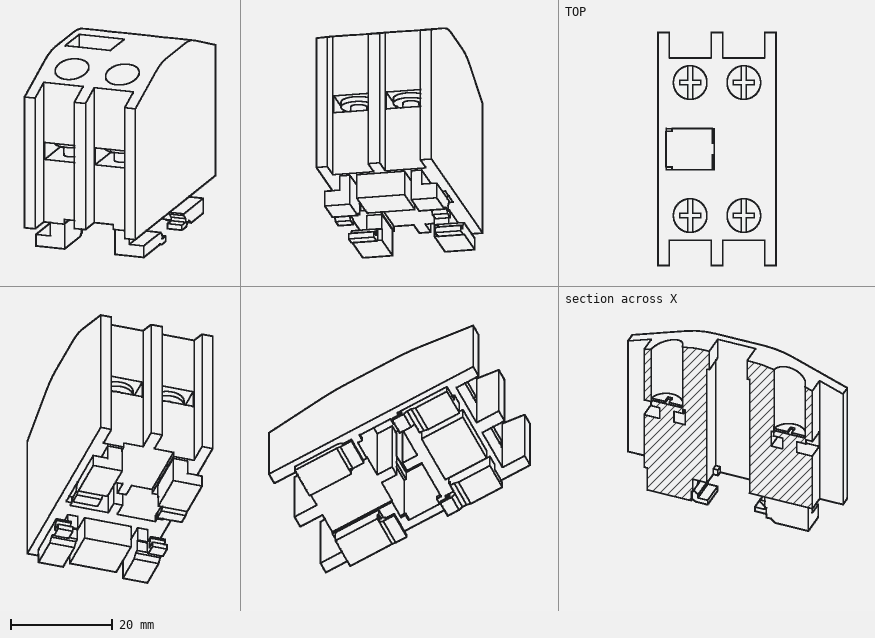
import cadquery as cq
import math


length = 46.2
width = 23.4
wall_x = width / 2
height = 32.45
total_height = 38.5
roof_flat_half = 5.25
roof_radius = 18.0
roof_angle = math.radians(20)

bay_width = 8.25
bay_depth = 5.05
pole_x = 5.3

screw_y = 13.15
screw_hole_diameter = 6.65
screw_top_z = 17.4
drive_width = 0.92
drive_length = 4.2
drive_depth = 0.45
slot_width = 7.9
slot_floor_z = 13.0
slot_ceiling_z = 16.5
slot_end_y = 9.25
head_diameter = 7.0
head_bottom_z = 15.5
shank_diameter = 3.25

side_wall = 1.6
window_outer_x = wall_x - side_wall
window_inner_x = 0.55
window_half_length = 4.05
chamber_inner_x = 0.92
chamber_half_length = 4.55
roof_thickness = 4.57
chamber_height = height - roof_thickness
partition_gap = 2.3
tab_width = 1.2
tab_half_gap = 3.5
tab_height = 1.4

recess_width = 10.35
recess_height = 0.95

foot_outer_x = wall_x - 0.32
stem_outer_x = wall_x - 3.35
front_foot_inner_x = wall_x - 6.38
hook_inner_x = wall_x - 5.45
foot_top_z = -2.95
front_foot_y = -17.4
front_stem_y = -7.6
front_foot_bottom_z = -5.35
rear_foot_y = 17.0
rear_stem_y = 7.65
foot_bottom_z = height - total_height
hook_end_y = 4.6
groove_top_z = -5.25

front_groove_y = -7.95
front_sole_step_y = -8.55
front_shoulder_y = -6.7
front_shoulder_z = -3.8
front_hook_top_z = -4.57
front_hook_bottom_z = -5.7
front_hook_heel_y = -7.1

rear_groove_y = 8.0
rear_groove_far_y = 8.9
rear_groove_start_y = 9.9
rear_hook_heel_y = 7.2
rear_hook_top_z = -5.0
rear_throat_y = 6.75
rear_throat_z = -4.25
rear_lip_y = 5.75
rear_lip_z = -3.33

block_width = 9.7
block_height = 4.9


def box(x_range, y_range, z_range):
    """Box spanning three (start, end) ranges given in either order."""
    ranges = [sorted(r) for r in (x_range, y_range, z_range)]
    sizes = [high - low for low, high in ranges]
    corner = tuple(low for low, high in ranges)
    return cq.Workplane("XY").box(*sizes, centered=False).translate(corner)


def centred(size, middle=0.0):
    """Range of the given size around a middle."""
    return (middle - size / 2, middle + size / 2)


def cylinder(diameter, x, y, z_range):
    """Upright cylinder between two heights."""
    bottom, top = z_range
    return cq.Workplane("XY", origin=(x, y, bottom)).circle(diameter / 2).extrude(top - bottom)


def profile_solid(points, x_range):
    """Closed (Y, Z) outline extruded between two X positions."""
    start, end = sorted(x_range)
    return cq.Workplane("YZ", origin=(start, 0, 0)).polyline(points).close().extrude(end - start)


def mirrored_pair(solid):
    """The solid together with its mirror image across X = 0."""
    return solid.union(solid.mirror("YZ"))


def housing():
    """Prism with a flat roof that curves tangentially into a slope at each end."""
    def arc_point(angle):
        y = roof_flat_half + roof_radius * math.sin(angle)
        z = height - roof_radius * (1 - math.cos(angle))
        return y, z

    mid_y, mid_z = arc_point(roof_angle / 2)
    end_y, end_z = arc_point(roof_angle)
    half = length / 2
    eave_z = end_z - (half - end_y) * math.tan(roof_angle)
    return (
        cq.Workplane("YZ", origin=(-wall_x, 0, 0))
        .moveTo(-half, 0)
        .lineTo(half, 0)
        .lineTo(half, eave_z)
        .lineTo(end_y, end_z)
        .threePointArc((mid_y, mid_z), (roof_flat_half, height))
        .lineTo(-roof_flat_half, height)
        .threePointArc((-mid_y, mid_z), (-end_y, end_z))
        .lineTo(-half, eave_z)
        .close()
        .extrude(width)
    )


def with_terminal(body, x, side):
    """Cut one wire bay with its screw hole and side slot, and add the screw; side is -1 or 1 along Y."""
    end_y = side * length / 2
    bay_floor_y = side * (length / 2 - bay_depth)
    y = side * screw_y
    body = body.cut(box(centred(bay_width, x), (bay_floor_y, end_y), (0, height)))
    body = body.cut(box(centred(slot_width, x), (side * slot_end_y, end_y), (slot_floor_z, slot_ceiling_z)))
    body = body.cut(cylinder(screw_hole_diameter, x, y, (screw_top_z, height)))
    drive_z = (screw_top_z - drive_depth, screw_top_z)
    body = body.cut(box(centred(drive_length, x), centred(drive_width, y), drive_z))
    body = body.cut(box(centred(drive_width, x), centred(screw_hole_diameter, y), drive_z))
    body = body.union(cylinder(head_diameter, x, y, (head_bottom_z, slot_ceiling_z)))
    return body.union(cylinder(shank_diameter, x, y, (slot_floor_z, head_bottom_z)))


def contact_chambers():
    """Two chambers open at the bottom, joined by a gap in the partition, less the tabs in their corners."""
    chamber = box(
        (-window_outer_x, -chamber_inner_x),
        (-chamber_half_length, chamber_half_length),
        (0, chamber_height),
    )
    for side in (-1, 1):
        tab = box(
            (-window_outer_x, tab_width - window_outer_x),
            (side * tab_half_gap, side * chamber_half_length),
            (0, tab_height),
        )
        chamber = chamber.cut(tab)
    gap = box((-chamber_inner_x, chamber_inner_x), centred(partition_gap), (0, chamber_height))
    return mirrored_pair(chamber).union(gap)


def front_foot():
    """Left front foot: a stem, a wider sole and a hook reaching towards the middle."""
    stem = box((-stem_outer_x, -front_foot_inner_x), (front_foot_y, front_stem_y), (foot_top_z, 0))
    sole = box(
        (-foot_outer_x, -front_foot_inner_x),
        (front_foot_y, front_groove_y),
        (front_foot_bottom_z, foot_top_z),
    )
    sole_notch_points = [
        (front_sole_step_y, front_foot_bottom_z),
        (front_groove_y, front_foot_bottom_z),
        (front_groove_y, groove_top_z),
    ]
    sole = sole.cut(profile_solid(sole_notch_points, (-foot_outer_x, -front_foot_inner_x)))
    hook_points = [
        (front_groove_y, groove_top_z),
        (front_groove_y, foot_top_z),
        (front_stem_y, foot_top_z),
        (front_shoulder_y, front_shoulder_z),
        (front_shoulder_y, front_hook_top_z),
        (-hook_end_y, front_hook_top_z),
        (-hook_end_y, front_hook_bottom_z),
        (front_hook_heel_y, front_hook_bottom_z),
    ]
    return stem.union(sole).union(profile_solid(hook_points, (-foot_outer_x, -hook_inner_x)))


def rear_foot():
    """Left rear foot: a stem, a sole with a grooved bottom and a narrower hook."""
    stem = box((-stem_outer_x, -hook_inner_x), (rear_stem_y, rear_foot_y), (foot_top_z, 0))
    sole_points = [
        (rear_foot_y, foot_top_z),
        (rear_foot_y, foot_bottom_z),
        (rear_groove_start_y, foot_bottom_z),
        (rear_groove_far_y, groove_top_z),
        (rear_groove_y, groove_top_z),
        (rear_groove_y, foot_top_z),
    ]
    hook_points = [
        (rear_groove_y, foot_top_z),
        (rear_groove_y, groove_top_z),
        (rear_hook_heel_y, foot_bottom_z),
        (hook_end_y, foot_bottom_z),
        (hook_end_y, rear_hook_top_z),
        (rear_throat_y, rear_hook_top_z),
        (rear_throat_y, rear_throat_z),
        (rear_lip_y, rear_lip_z),
        (rear_lip_y, foot_top_z),
    ]
    sole = profile_solid(sole_points, (-foot_outer_x, -hook_inner_x))
    hook = profile_solid(hook_points, (-foot_outer_x, -stem_outer_x))
    return stem.union(sole).union(hook)


result = housing()
for terminal_x in (-pole_x, pole_x):
    for terminal_side in (-1, 1):
        result = with_terminal(result, terminal_x, terminal_side)

window = box(
    (-window_outer_x, -window_inner_x),
    (-window_half_length, window_half_length),
    (chamber_height, height),
)
recess = box(centred(recess_width), (-length / 2, -partition_gap / 2), (0, recess_height))
result = result.cut(window).cut(contact_chambers()).cut(recess)

result = result.union(mirrored_pair(front_foot())).union(mirrored_pair(rear_foot()))
result = result.union(box(centred(block_width), (rear_stem_y, rear_foot_y), (-block_height, 0)))